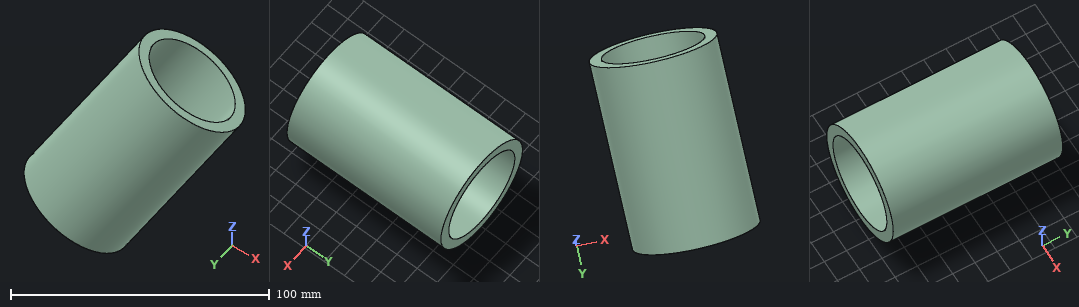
import cadquery as cq

length = 76.2
outer_diameter = 50.8
wall_thickness = 4.9
bore_diameter = outer_diameter - 2 * wall_thickness

result = (
    cq.Workplane("XZ", origin=(0, length / 2, 0))
    .circle(outer_diameter / 2)
    .circle(bore_diameter / 2)
    .extrude(length)
)